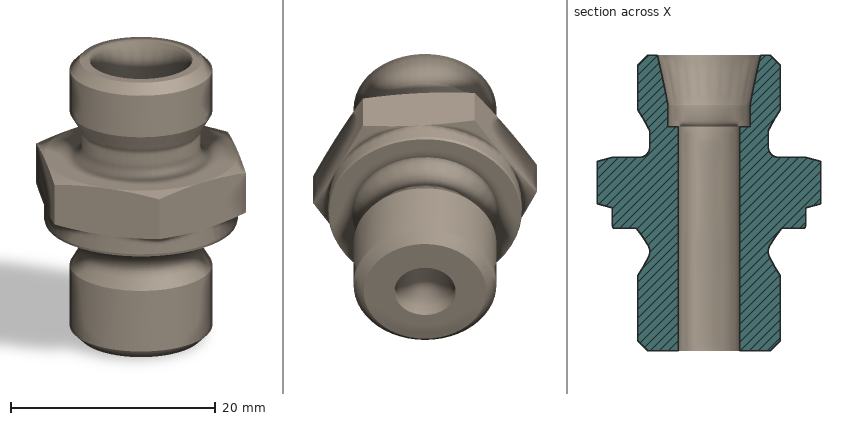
import cadquery as cq
import math

total_height = 29.0
hex_top = 19.0
hex_bottom = 14.0
collar_bottom = 12.0

thread_radius = 14.0 / 2
neck_radius = 11.7 / 2
collar_radius = 19.0 / 2
hex_across_flats = 19.02
end_chamfer = 1.0
collar_edge_height = 0.25
collar_edge_inset = 0.1
hex_chamfer_angle = math.radians(15)

flank_angle = math.radians(30)
lower_groove_level = 9.75
lower_groove_blend = 1.28
upper_neck_top = 21.43
upper_neck_blend = 0.7
shoulder_fillet = 1.0
lower_flank_top_radius = 7.13

bore_radius = 6.0 / 2
socket_radius = 8.0 / 2
seat_mouth_radius = 10.1 / 2
seat_half_angle = math.radians(12)
socket_depth = 7.0


def blend_point(neck_level, blend_radius, angle, direction):
    """Point on a blend arc that leaves the neck vertically and turns outward by angle."""
    radius = neck_radius + blend_radius * (1 - math.cos(angle))
    level = neck_level + direction * blend_radius * math.sin(angle)
    return radius, level


def flank_end(start, outer_radius, direction):
    """Point where a flank from start reaches outer_radius."""
    rise = (outer_radius - start[0]) / math.tan(flank_angle)
    return outer_radius, start[1] + direction * rise


def revolve(profile):
    return profile.close().revolve(360, (0, 0, 0), (0, 1, 0))


def lower_stud():
    groove_low = blend_point(lower_groove_level, lower_groove_blend, flank_angle, -1)
    groove_high = blend_point(lower_groove_level, lower_groove_blend, flank_angle, 1)
    return revolve(
        cq.Workplane("XZ")
        .lineTo(thread_radius - end_chamfer, 0)
        .lineTo(thread_radius, end_chamfer)
        .lineTo(*flank_end(groove_low, thread_radius, -1))
        .lineTo(*groove_low)
        .threePointArc((neck_radius, lower_groove_level), groove_high)
        .lineTo(lower_flank_top_radius, collar_bottom)
        .lineTo(lower_flank_top_radius, hex_bottom)
        .lineTo(0, hex_bottom)
    )


def collar():
    return revolve(
        cq.Workplane("XZ")
        .moveTo(0, collar_bottom)
        .lineTo(collar_radius - collar_edge_inset, collar_bottom)
        .lineTo(collar_radius, collar_bottom + collar_edge_height)
        .lineTo(collar_radius, hex_bottom)
        .lineTo(0, hex_bottom)
    )


def hexagon():
    corner_radius = hex_across_flats / math.sqrt(3)
    corner_drop = (corner_radius - collar_radius) * math.tan(hex_chamfer_angle)
    prism = (
        cq.Workplane("XY", origin=(0, 0, hex_bottom))
        .polygon(6, 2 * corner_radius)
        .extrude(hex_top - hex_bottom)
        .rotate((0, 0, 0), (0, 0, 1), 30)
    )
    trimming_disc = revolve(
        cq.Workplane("XZ")
        .moveTo(0, hex_bottom)
        .lineTo(collar_radius, hex_bottom)
        .lineTo(corner_radius, hex_bottom + corner_drop)
        .lineTo(corner_radius, hex_top - corner_drop)
        .lineTo(collar_radius, hex_top)
        .lineTo(0, hex_top)
    )
    return prism.intersect(trimming_disc)


def upper_stud():
    fillet_top = hex_top + shoulder_fillet
    fillet_middle = blend_point(fillet_top, shoulder_fillet, math.radians(45), -1)
    blend_middle = blend_point(upper_neck_top, upper_neck_blend, flank_angle / 2, 1)
    blend_end = blend_point(upper_neck_top, upper_neck_blend, flank_angle, 1)
    return revolve(
        cq.Workplane("XZ")
        .moveTo(0, hex_bottom)
        .lineTo(neck_radius, hex_bottom)
        .lineTo(neck_radius + shoulder_fillet, hex_top)
        .threePointArc(fillet_middle, (neck_radius, fillet_top))
        .lineTo(neck_radius, upper_neck_top)
        .threePointArc(blend_middle, blend_end)
        .lineTo(*flank_end(blend_end, thread_radius, 1))
        .lineTo(thread_radius, total_height - end_chamfer)
        .lineTo(thread_radius - end_chamfer, total_height)
        .lineTo(0, total_height)
    )


def bore():
    seat_depth = (seat_mouth_radius - socket_radius) / math.tan(seat_half_angle)
    return revolve(
        cq.Workplane("XZ")
        .lineTo(bore_radius, 0)
        .lineTo(bore_radius, total_height - socket_depth)
        .lineTo(socket_radius, total_height - socket_depth)
        .lineTo(socket_radius, total_height - seat_depth)
        .lineTo(seat_mouth_radius, total_height)
        .lineTo(0, total_height)
    )


result = hexagon().union(collar()).union(lower_stud()).union(upper_stud()).cut(bore())